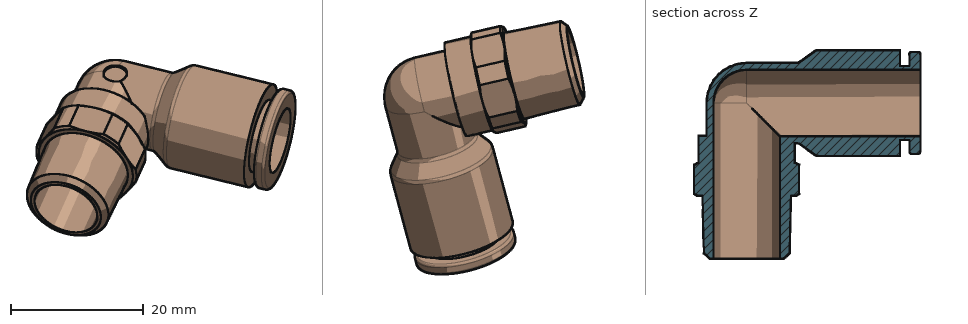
import cadquery as cq
import math


elbow_radius = 6.1
bore_radius = 5.0

sleeve_radius = 8.0
sleeve_start = 6.85
flare_start = 7.83
flare_end = 10.5
flare_blend = 1.0
sleeve_end = 23.15
neck_radius = 5.6
release_ring_start = 24.5
release_ring_end = 26.22
release_ring_radius = 7.73
release_ring_round = 0.4

collar_radius = 7.28
collar_start = 4.92
hex_start = 9.03
hex_end = 14.02
hex_across_flats = 14.98
hex_corner_radius = 7.95
hex_chamfer_depth = 0.27
hex_chamfer_width = hex_corner_radius - hex_across_flats / 2
thread_root_radius = 6.7
thread_tip_radius = 6.5
thread_end = 23.5
thread_chamfer_length = 0.82
thread_chamfer_width = 0.92

recess_radius = 1.78
recess_floor = 5.5


def cylinder_x(start, end, radius):
    """Cylinder on the tube axis between two distances along +X."""
    return cq.Workplane("YZ", origin=(start, 0, 0)).circle(radius).extrude(end - start)


def cylinder_y(start, end, radius):
    """Cylinder on the thread axis between two distances along -Y."""
    return cq.Workplane("XZ", origin=(0, -start, 0)).circle(radius).extrude(end - start)


def elbow_core(radius, tube_length, thread_length):
    """Quarter ball at the outer corner with one straight arm along each axis."""
    quarter_ball = (
        cq.Workplane("XY")
        .sphere(radius, angle3=90)
        .rotate((0, 0, 0), (0, 0, 1), 90)
    )
    tube_arm = cylinder_x(0, tube_length, radius)
    thread_arm = cylinder_y(0, thread_length, radius)
    return tube_arm.union(thread_arm).union(quarter_ball)


def flared_sleeve():
    """Sleeve that widens from the elbow through a cone with blended ends."""
    profile = [
        (sleeve_start, 0),
        (sleeve_start, elbow_radius),
        (flare_start, elbow_radius),
        (flare_end, sleeve_radius),
        (sleeve_end, sleeve_radius),
        (sleeve_end, 0),
    ]
    sleeve = cq.Workplane("XY").polyline(profile).close().revolve(360, (0, 0, 0), (1, 0, 0))
    zone_margin = 0.35
    flare_zone = cq.selectors.BoxSelector(
        (flare_start - zone_margin, -zone_margin, -zone_margin),
        (flare_end + zone_margin, zone_margin, zone_margin),
    )
    return sleeve.edges("%CIRCLE").edges(flare_zone).fillet(flare_blend)


def release_ring():
    """Rounded push ring carried on a narrower neck."""
    neck = cylinder_x(sleeve_end, release_ring_start, neck_radius)
    ring = cylinder_x(release_ring_start, release_ring_end, release_ring_radius)
    return neck.union(ring.edges("%CIRCLE").fillet(release_ring_round))


def hex_nut():
    """Hexagon with flats facing +Z and -Z, its corners turned round and chamfered."""
    height = hex_end - hex_start
    across_corners = hex_across_flats / math.cos(math.pi / 6)
    prism = cq.Workplane("XZ", origin=(0, -hex_start, 0)).polygon(6, across_corners).extrude(height)
    turned = cylinder_y(hex_start, hex_end, hex_corner_radius)
    turned = turned.faces("<Y or >Y").chamfer(hex_chamfer_depth, hex_chamfer_width)
    return prism.intersect(turned)


def thread_stub():
    """Tapered thread envelope with a chamfered tip."""
    taper_end = thread_end - thread_chamfer_length
    profile = [
        (0, -hex_end),
        (thread_root_radius, -hex_end),
        (thread_tip_radius, -taper_end),
        (thread_tip_radius - thread_chamfer_width, -thread_end),
        (0, -thread_end),
    ]
    return cq.Workplane("XY").polyline(profile).close().revolve(360, (0, 0, 0), (0, 1, 0))


recess = (
    cq.Workplane("XY", origin=(0, 0, recess_floor))
    .circle(recess_radius)
    .extrude(elbow_radius - recess_floor)
)

body = elbow_core(elbow_radius, sleeve_start, collar_start)
body = body.union(flared_sleeve())
body = body.union(release_ring())
body = body.union(cylinder_y(collar_start, hex_start, collar_radius))
body = body.union(hex_nut())
body = body.union(thread_stub())
body = body.cut(recess)

result = body.cut(elbow_core(bore_radius, release_ring_end, thread_end))